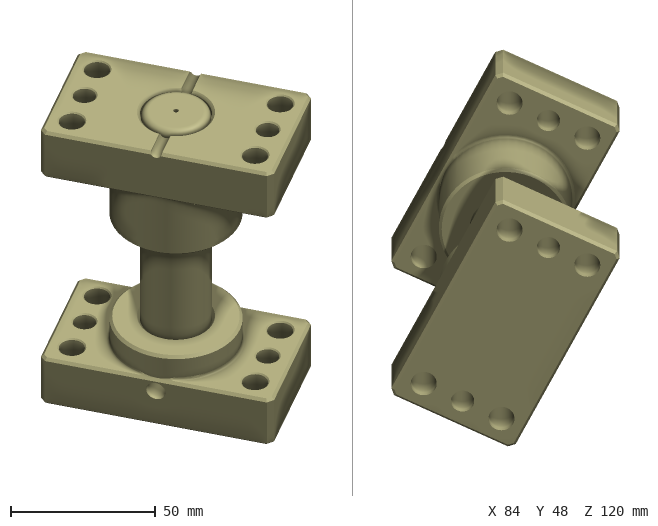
import cadquery as cq

total_height = 120.0
plate_length = 84.0
plate_width = 48.0
plate_thickness = 20.0

edge_chamfer = 1.0
corner_chamfer = 2.0
hole_chamfer = 0.5

column_diameter = 25.0
column_top_radius = 2.6
lead_in_diameter = 24.2
lead_in_length = 4.0
column_protrusion = 0.6
centre_hole_diameter = 1.9
centre_hole_depth = 2.0

boss_radius = plate_width / 2 - edge_chamfer
collar_height = 10.0
hub_height = 25.0
root_fillet = edge_chamfer

hole_row_x = 33.0
screw_hole_y = 15.0
screw_hole_diameter = 9.0
dowel_hole_diameter = 8.0

groove_radius = 2.0
cross_hole_diameter = 7.0
cross_hole_z = 15.0

upper_plate_top = total_height - column_protrusion
upper_plate_bottom = upper_plate_top - plate_thickness


def make_plate():
    """Chamfered block standing on Z = 0."""
    block = cq.Workplane("XY").box(plate_length, plate_width, plate_thickness, centered=(True, True, False))
    return block.edges("|Z").chamfer(corner_chamfer).faces("<Z or >Z").edges().chamfer(edge_chamfer)


def make_boss(height):
    """Round boss rising from Z = 0, with its free rim chamfered."""
    return cq.Workplane("XY").circle(boss_radius).extrude(height).faces(">Z").edges().chamfer(edge_chamfer)


def make_root_fillet():
    """Concave ring at the foot of a boss, cut back by the slopes of the plate's long edges."""
    foot_radius = boss_radius + root_fillet
    ring = (
        cq.Workplane("XZ")
        .moveTo(0, 0)
        .lineTo(foot_radius, 0)
        .radiusArc((boss_radius, root_fillet), root_fillet)
        .lineTo(0, root_fillet)
        .close()
        .revolve(360, (0, 0, 0), (0, 1, 0))
    )
    flat_half_width = plate_width / 2 - edge_chamfer
    roof = (
        cq.Workplane("YZ")
        .polyline([
            (-flat_half_width, 0),
            (flat_half_width, 0),
            (flat_half_width - root_fillet, root_fillet),
            (root_fillet - flat_half_width, root_fillet),
        ])
        .close()
        .extrude(plate_length / 2, both=True)
    )
    return ring.intersect(roof)


def drill(body, x, y, top_z, depth, diameter, chamfer):
    """Cut a vertical hole downwards from top_z, with a chamfered mouth."""
    radius = diameter / 2
    cutter = (
        cq.Workplane("XZ", origin=(x, y, top_z))
        .polyline([
            (0, 0),
            (radius + chamfer, 0),
            (radius, -chamfer),
            (radius, -depth),
            (0, -depth),
        ])
        .close()
        .revolve(360, (0, 0, 0), (0, 1, 0))
    )
    return body.cut(cutter)


def drill_mounting_holes(body, top_z):
    """Cut the two rows of screw and dowel holes through a plate."""
    for x in (-hole_row_x, hole_row_x):
        for y in (-screw_hole_y, screw_hole_y):
            body = drill(body, x, y, top_z, plate_thickness, screw_hole_diameter, hole_chamfer)
        body = drill(body, x, 0, top_z, plate_thickness, dowel_hole_diameter, hole_chamfer)
    return body


def make_lower_plate():
    """Base plate with the collar on top and a cross hole from the -Y side to the bore."""
    collar_top = plate_thickness + collar_height
    body = make_plate()
    body = body.union(make_boss(collar_height).translate((0, 0, plate_thickness)))
    body = body.union(make_root_fillet().translate((0, 0, plate_thickness)))
    cross_hole = (
        cq.Workplane("XZ", origin=(0, 0, cross_hole_z)).circle(cross_hole_diameter / 2).extrude(plate_width / 2)
    )
    body = body.cut(cross_hole)
    body = drill(body, 0, 0, collar_top, collar_top, column_diameter, edge_chamfer)
    return drill_mounting_holes(body, plate_thickness)


def make_upper_plate():
    """Head plate with the hub hanging below and an oil groove across the top."""
    body = make_plate().translate((0, 0, upper_plate_bottom))
    for part in (make_boss(hub_height), make_root_fillet()):
        hanging_part = part.rotate((0, 0, 0), (1, 0, 0), 180).translate((0, 0, upper_plate_bottom))
        body = body.union(hanging_part)
    groove = (
        cq.Workplane("XZ", origin=(0, 0, upper_plate_top)).circle(groove_radius).extrude(plate_width / 2, both=True)
    )
    body = body.cut(groove)
    bore_depth = plate_thickness + hub_height
    body = drill(body, 0, 0, upper_plate_top, bore_depth, column_diameter, edge_chamfer)
    return drill_mounting_holes(body, upper_plate_top)


def make_column():
    """Guide column through both plates, with a slightly reduced lead-in at the top."""
    column = cq.Workplane("XY").circle(column_diameter / 2).extrude(total_height - lead_in_length)
    column = column.faces(">Z").workplane().circle(lead_in_diameter / 2).extrude(lead_in_length)
    column = column.faces(">Z").edges().fillet(column_top_radius)
    return column.faces(">Z").workplane().hole(centre_hole_diameter, centre_hole_depth)


lower_plate = make_lower_plate().solids()
upper_plate = make_upper_plate().solids()
column = make_column().solids()

result = cq.Compound.makeCompound([lower_plate.val(), upper_plate.val(), column.val()])